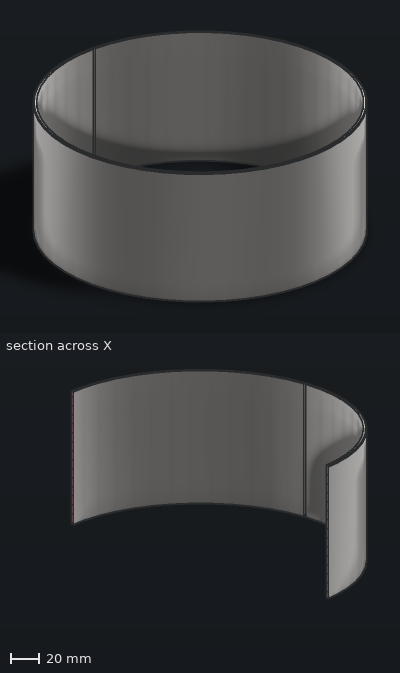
import cadquery as cq

outer_diameter = 235.0
height = 100.0
wall = 2.4
rim_chamfer = 0.56
slit_angle = 1.0

outer_radius = outer_diameter / 2
inner_radius = outer_radius - wall


def wall_section():
    return (
        cq.Workplane("XZ")
        .moveTo(-inner_radius, 0)
        .lineTo(-outer_radius + rim_chamfer, 0)
        .lineTo(-outer_radius, rim_chamfer)
        .lineTo(-outer_radius, height - rim_chamfer)
        .lineTo(-outer_radius + rim_chamfer, height)
        .lineTo(-inner_radius, height)
        .close()
    )


result = wall_section().revolve(360 - slit_angle, (0, 0, 0), (0, 1, 0))